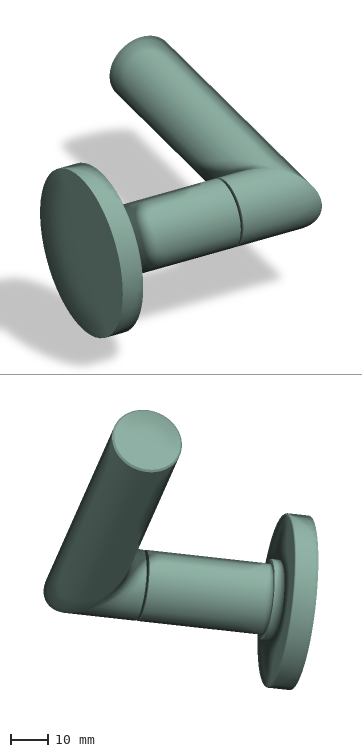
import cadquery as cq

overall_length = 99.7
overall_depth = 68.1
rose_diameter = 47.0
rose_thickness = 6.4
rose_edge_fillet = 0.5
collar_diameter = 21.7
collar_thickness = 2.8
collar_relief_width = 0.3
collar_relief_depth = 0.4
bar_diameter = 19.1
grip_end_chamfer = 0.5
groove_start = 43.2
groove_width = 0.8
groove_depth = 2.9
inner_bend_radius = 2.3
outer_bend_radius = 0.9
blend_height_ratio = 0.98

bar_radius = bar_diameter / 2
grip_axis_y = overall_depth - bar_radius
grip_end_x = rose_diameter / 2 - overall_length


def cylinder_along_y(diameter, start, length):
    """Cylinder on the neck axis, running toward +Y from start."""
    return cq.Workplane("XZ", origin=(0, start, 0)).circle(diameter / 2).extrude(-length)


def mitre_half(profile_plane, bar_length, corner_points):
    """Round bar trimmed to the side of the mitre plane outlined by corner_points."""
    bar = profile_plane.circle(bar_radius).extrude(bar_length)
    trim = (
        cq.Workplane("XY", origin=(0, 0, -bar_diameter))
        .polyline(corner_points)
        .close()
        .extrude(2 * bar_diameter)
    )
    return bar.intersect(trim)


def mitred_lever():
    """Grip along X and the neck piece along Y, joined at a 45 degree mitre."""
    inside = (-bar_radius, grip_axis_y - bar_radius)
    outside = (bar_radius, overall_depth)
    grip = mitre_half(
        cq.Workplane("YZ", origin=(grip_end_x, grip_axis_y, 0)),
        bar_radius - grip_end_x,
        [(grip_end_x, inside[1]), inside, outside, (grip_end_x, overall_depth)],
    )
    neck_start = groove_start + groove_width
    neck = mitre_half(
        cq.Workplane("XZ", origin=(0, neck_start, 0)),
        -(overall_depth - neck_start),
        [(-bar_radius, neck_start), (bar_radius, neck_start), outside, inside],
    )
    lever = grip.union(neck)
    return lever.faces("<X").edges().chamfer(grip_end_chamfer)


def round_mitre(lever):
    """Round both mitre edges, stopping short of the top and bottom where the bars run smoothly together."""
    slab = cq.Workplane("XY").box(
        2 * overall_length, 2 * overall_depth, blend_height_ratio * bar_diameter,
    ).translate((0, overall_depth, 0))
    caps = lever.cut(slab)
    core = lever.intersect(slab)
    core = core.edges("%ELLIPSE").edges(">X").fillet(outer_bend_radius)
    core = core.edges("%ELLIPSE").edges("<X").fillet(inner_bend_radius)
    return core.union(caps)


def rose():
    """Flat round plate with a rounded rear rim."""
    plate = cylinder_along_y(rose_diameter, 0, rose_thickness)
    return plate.faces(">Y").edges().fillet(rose_edge_fillet)


def collar():
    """Collar standing on the rose, with a thin relief around its foot."""
    foot_diameter = collar_diameter - 2 * collar_relief_depth
    foot = cylinder_along_y(foot_diameter, rose_thickness, collar_relief_width)
    ring_start = rose_thickness + collar_relief_width
    ring = cylinder_along_y(collar_diameter, ring_start, collar_thickness - collar_relief_width)
    return foot.union(ring)


shank = cylinder_along_y(bar_diameter, rose_thickness, groove_start - rose_thickness)
groove_core = cylinder_along_y(bar_diameter - 2 * groove_depth, groove_start, groove_width)

result = rose().union(collar()).union(shank).union(groove_core).union(round_mitre(mitred_lever()))